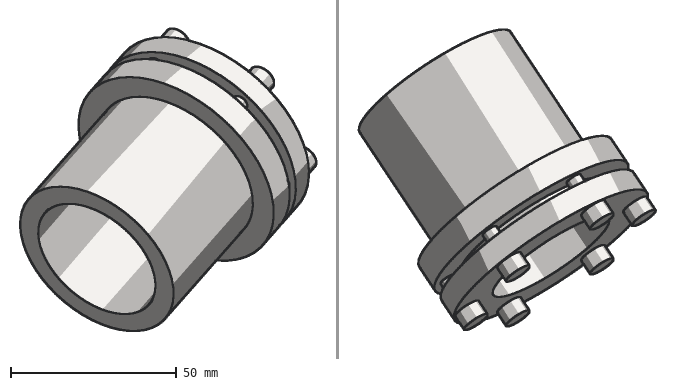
import cadquery as cq
import math

total_length = 70.0
front_flange_thickness = 9.0
gap_width = 3.5
back_flange_thickness = 7.5
head_height = 5.0
pipe_length = total_length - front_flange_thickness - gap_width - back_flange_thickness - head_height

flange_diameter = 70.0
pipe_diameter = 55.0
bore_diameter = 42.0
gasket_diameter = 51.45

bolt_count = 6
bolt_circle_radius = 30.25
head_diameter = 8.55
shank_diameter = 5.05

pipe_end_y = -total_length / 2
front_flange_y = pipe_end_y + pipe_length
gap_y = front_flange_y + front_flange_thickness
back_flange_y = gap_y + gap_width
head_y = back_flange_y + back_flange_thickness


def cylinder(diameter, start_y, length, x=0.0, z=0.0):
    """Solid cylinder running towards +Y from start_y."""
    radius = diameter / 2
    return cq.Workplane(cq.Solid.makeCylinder(radius, length, cq.Vector(x, start_y, z), cq.Vector(0, 1, 0)))


def bolt(angle):
    """Shank bridging the gap and a round head behind the back flange."""
    x = bolt_circle_radius * math.cos(angle)
    z = bolt_circle_radius * math.sin(angle)
    shank = cylinder(shank_diameter, gap_y, head_y - gap_y, x, z)
    head = cylinder(head_diameter, head_y, head_height, x, z)
    return shank.union(head)


body = cylinder(pipe_diameter, pipe_end_y, pipe_length)
body = body.union(cylinder(flange_diameter, front_flange_y, front_flange_thickness))
body = body.union(cylinder(gasket_diameter, gap_y, gap_width))
body = body.union(cylinder(flange_diameter, back_flange_y, back_flange_thickness))

for index in range(bolt_count):
    body = body.union(bolt(2 * math.pi * index / bolt_count))

result = body.cut(cylinder(bore_diameter, pipe_end_y, total_length))